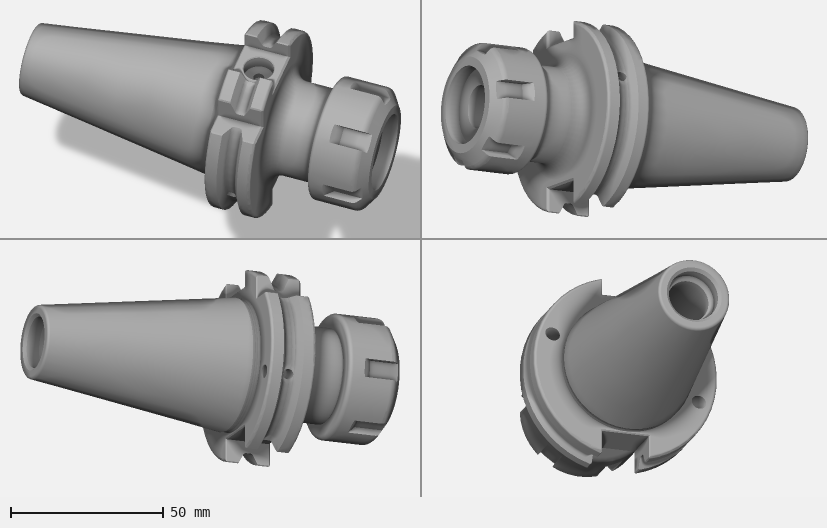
import cadquery as cq
import math


gauge_radius = 22.225
taper_ratio = 7 / 24
taper_length = 68.4
taper_end_x = -taper_length
taper_end_radius = gauge_radius - taper_length * taper_ratio / 2
taper_end_fillet = 1.0
taper_big_end_x = 0.5
taper_big_end_radius = gauge_radius + taper_big_end_x * taper_ratio / 2
relief_start_x = 1.6
relief_end_x = 2.4
relief_radius = 21.9

flange_radius = 31.775
flange_start_x = 3.2
flange_end_x = 19.1
flange_fillet = 1.0
groove_x = (flange_start_x + flange_end_x) / 2
groove_radius = 28.1
groove_rim_width = 7.1
groove_half_angle = 30.0
groove_root_fillet = 1.0

neck_radius = 16.0
neck_fillet = 4.7
neck_end_x = 34.8
nose_radius = 15.5
nose_end_x = 50.0

bore_radius = 7.1
mouth_radius = 8.5
mouth_chamfer = 1.0
mouth_depth = 5.4
seat_radius = 7.9
seat_cone_length = 0.5
seat_depth = 6.7

slot_width = 16.2
top_slot_floor = 25.0
bottom_slot_floor = 22.9
notch_offset = 18.3
front_edge_chamfer = 0.4
back_edge_chamfer = 0.65
slot_rim_chamfer = 0.4
notch_rim_chamfer = 0.3
cut_margin = 12.0

chip_diameter = 10.0
chip_chamfer = 0.3
chip_depth = 4.6
chip_pilot_diameter = 3.6
chip_pilot_depth = 2.0
drill_half_angle = 59.0

coolant_angle = 19.5
coolant_pitch_radius = 26.9
coolant_diameter = 4.4
coolant_slant = 30.0
cross_drill_diameter = 3.4

nut_radius = 21.0
nut_start_x = 35.3
nut_end_x = 55.1
nut_back_fillet = 1.4
nut_face_radius = 16.0
nut_cone_angle = 55.0
nut_cone_fillet = 2.3
nut_opening_radius = 13.0
nut_slot_count = 6
nut_slot_phase = -24.3
nut_slot_width = 6.2
nut_slot_start_x = 40.7
nut_slot_floor = 18.0


def cylinder(start, direction, diameter, length):
    return cq.Workplane(cq.Solid.makeCylinder(diameter / 2, length, cq.Vector(*start), cq.Vector(*direction)))


def shank_blank():
    """Turned body: taper, relief, flange blank, neck and nose."""
    return (
        cq.Workplane("XZ")
        .moveTo(taper_end_x, 0)
        .lineTo(taper_end_x, taper_end_radius)
        .lineTo(taper_big_end_x, taper_big_end_radius)
        .lineTo(relief_start_x, relief_radius)
        .lineTo(relief_end_x, relief_radius)
        .lineTo(flange_start_x, gauge_radius)
        .lineTo(flange_start_x, flange_radius - flange_fillet)
        .radiusArc((flange_start_x + flange_fillet, flange_radius), flange_fillet)
        .lineTo(flange_end_x - flange_fillet, flange_radius)
        .radiusArc((flange_end_x, flange_radius - flange_fillet), flange_fillet)
        .lineTo(flange_end_x, neck_radius + neck_fillet)
        .radiusArc((flange_end_x + neck_fillet, neck_radius), -neck_fillet)
        .lineTo(neck_end_x, neck_radius)
        .lineTo(neck_end_x, nose_radius)
        .lineTo(nose_end_x, nose_radius)
        .lineTo(nose_end_x, 0)
        .close()
        .revolve(360, (0, 0, 0), (1, 0, 0))
        .faces("<X").edges().fillet(taper_end_fillet)
    )


def gripper_groove():
    """Ring of V section with a rounded root."""
    wall_slope = math.tan(math.radians(groove_half_angle))
    half_root = groove_rim_width / 2 - (flange_radius - groove_radius) * wall_slope
    outer_radius = flange_radius + cut_margin
    half_mouth = half_root + (outer_radius - groove_radius) * wall_slope
    return (
        cq.Workplane("XZ")
        .moveTo(groove_x - half_mouth, outer_radius)
        .lineTo(groove_x - half_root, groove_radius)
        .lineTo(groove_x + half_root, groove_radius)
        .lineTo(groove_x + half_mouth, outer_radius)
        .close()
        .revolve(360, (0, 0, 0), (1, 0, 0))
        .edges(cq.selectors.RadiusNthSelector(0))
        .fillet(groove_root_fillet)
    )


def shank_bore():
    mouth_end_x = taper_end_x + mouth_depth
    seat_end_x = taper_end_x + seat_depth
    return (
        cq.Workplane("XZ")
        .moveTo(taper_end_x, 0)
        .lineTo(taper_end_x, mouth_radius + mouth_chamfer)
        .lineTo(taper_end_x + mouth_chamfer, mouth_radius)
        .lineTo(mouth_end_x, mouth_radius)
        .lineTo(mouth_end_x + seat_cone_length, seat_radius)
        .lineTo(seat_end_x, bore_radius)
        .lineTo(nose_end_x, bore_radius)
        .lineTo(nose_end_x, 0)
        .close()
        .revolve(360, (0, 0, 0), (1, 0, 0))
    )


def flange_cutter(y_min, y_max, z_min, z_max):
    """Box through the flange that flares at both flange faces, which chamfers the cut edges."""
    def section(x, growth):
        return (
            cq.Workplane("YZ", origin=(x, (y_min + y_max) / 2, (z_min + z_max) / 2))
            .rect(y_max - y_min + 2 * growth, z_max - z_min + 2 * growth)
        )

    cutter = section(flange_start_x, 0).extrude(flange_end_x - flange_start_x)
    front_flare = section(flange_start_x, front_edge_chamfer).extrude(front_edge_chamfer, taper=45)
    back_flare = section(flange_end_x, back_edge_chamfer).extrude(-back_edge_chamfer, taper=45)
    return cutter.union(front_flare).union(back_flare)


def rim_wedge(wall_y, chamfer, material_side, turn):
    """Prism that breaks the corner between the flange rim and a wall at y = wall_y, turned about X.

    material_side is the sign of the Y direction in which the flange material lies beside the wall.
    """
    corner_z = math.sqrt(flange_radius**2 - wall_y**2)
    rim_y = wall_y + material_side * chamfer
    rim_z = math.sqrt(flange_radius**2 - rim_y**2)
    return (
        cq.Workplane("YZ", origin=(flange_start_x, 0, 0))
        .moveTo(wall_y, corner_z - chamfer)
        .lineTo(rim_y, rim_z)
        .lineTo(wall_y, corner_z + chamfer)
        .close()
        .extrude(flange_end_x - flange_start_x)
        .rotate((0, 0, 0), (1, 0, 0), turn)
    )


def chip_recess():
    """Flat-bottomed recess with a pointed pilot hole in its floor."""
    pilot_radius = chip_pilot_diameter / 2
    floor = top_slot_floor - chip_depth
    pilot_floor = floor - chip_pilot_depth
    tip = pilot_floor - pilot_radius / math.tan(math.radians(drill_half_angle))
    return (
        cq.Workplane("XZ", origin=(groove_x, 0, 0))
        .moveTo(0, tip)
        .lineTo(pilot_radius, pilot_floor)
        .lineTo(pilot_radius, floor)
        .lineTo(chip_diameter / 2, floor)
        .lineTo(chip_diameter / 2, top_slot_floor - chip_chamfer)
        .lineTo(chip_diameter / 2 + chip_chamfer, top_slot_floor)
        .lineTo(0, top_slot_floor)
        .close()
        .revolve(360, (0, 0, 0), (0, 1, 0))
    )


def coolant_drillings():
    """One pair of meeting drillings, laid out on the +Y side and then turned about X."""
    slant = math.radians(coolant_slant)
    inward = (math.cos(slant), -math.sin(slant), 0)
    lead = coolant_diameter
    entry = (
        flange_start_x - lead * inward[0],
        coolant_pitch_radius - lead * inward[1],
        0,
    )
    slant_length = lead + (groove_x - flange_start_x) / inward[0]
    slanted = cylinder(entry, inward, coolant_diameter, slant_length)

    meeting_radius = coolant_pitch_radius - (groove_x - flange_start_x) * math.tan(slant)
    cross = cylinder(
        (groove_x, meeting_radius, 0), (0, 1, 0), cross_drill_diameter, flange_radius - meeting_radius
    )
    return slanted.union(cross).rotate((0, 0, 0), (1, 0, 0), coolant_angle)


def build_shank():
    reach = flange_radius + cut_margin
    half_slot = slot_width / 2
    shank = shank_blank().cut(gripper_groove()).cut(shank_bore())
    shank = shank.cut(flange_cutter(-half_slot, half_slot, top_slot_floor, reach))
    shank = shank.cut(flange_cutter(-half_slot, half_slot, -reach, -bottom_slot_floor))
    shank = shank.cut(flange_cutter(-reach, -notch_offset, notch_offset, reach))
    for turn in (0, 180):
        for side in (-1, 1):
            shank = shank.cut(rim_wedge(side * half_slot, slot_rim_chamfer, side, turn))
    shank = shank.cut(rim_wedge(-notch_offset, notch_rim_chamfer, 1, 0))
    shank = shank.cut(rim_wedge(notch_offset, notch_rim_chamfer, -1, 90))
    shank = shank.cut(chip_recess())
    for turn in (0, 180):
        shank = shank.cut(coolant_drillings().rotate((0, 0, 0), (1, 0, 0), turn))
    return shank


def nut_slot():
    """Spanner slot at the top of the nut with a 45 degree run-out at its closed end."""
    slot_depth = nut_radius - nut_slot_floor
    top = nut_radius + slot_depth
    return (
        cq.Workplane("XZ")
        .moveTo(nut_slot_start_x - slot_depth, top)
        .lineTo(nut_slot_start_x + slot_depth, nut_slot_floor)
        .lineTo(nut_end_x, nut_slot_floor)
        .lineTo(nut_end_x, top)
        .close()
        .extrude(nut_slot_width / 2, both=True)
    )


def build_nut():
    cone_angle = math.radians(nut_cone_angle)
    cone_start_x = nut_end_x - (nut_radius - nut_face_radius) / math.tan(cone_angle)
    tangent_length = nut_cone_fillet * math.tan(cone_angle / 2)
    arc_end = (
        cone_start_x + tangent_length * math.cos(cone_angle),
        nut_radius - tangent_length * math.sin(cone_angle),
    )
    nut = (
        cq.Workplane("XZ")
        .moveTo(nut_start_x, nose_radius)
        .lineTo(nut_start_x, nut_radius - nut_back_fillet)
        .radiusArc((nut_start_x + nut_back_fillet, nut_radius), nut_back_fillet)
        .lineTo(cone_start_x - tangent_length, nut_radius)
        .radiusArc(arc_end, nut_cone_fillet)
        .lineTo(nut_end_x, nut_face_radius)
        .lineTo(nut_end_x, nut_opening_radius)
        .lineTo(nose_end_x, nut_opening_radius)
        .lineTo(nose_end_x, nose_radius)
        .close()
        .revolve(360, (0, 0, 0), (1, 0, 0))
    )
    for index in range(nut_slot_count):
        turn = nut_slot_phase + index * 360 / nut_slot_count
        nut = nut.cut(nut_slot().rotate((0, 0, 0), (1, 0, 0), turn))
    return nut


shank = build_shank()
nut = build_nut()
result = cq.Compound.makeCompound([shank.val(), nut.val()])